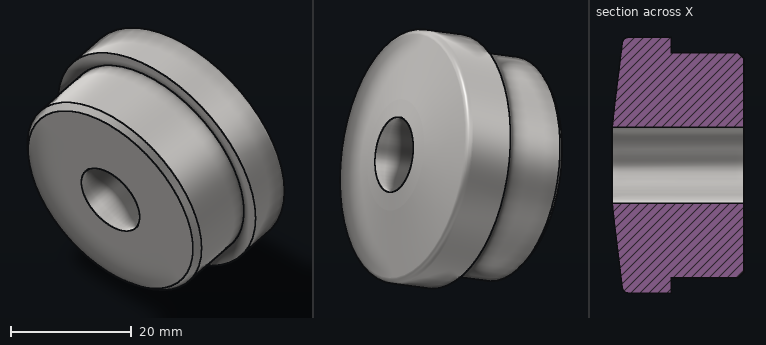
import cadquery as cq
import math

head_radius = 21.2
plug_radius = 18.7
bore_radius = 6.255
plug_length = 12.0
plug_chamfer = 1.0
total_length = 21.85
head_side_length = 7.15
rim_round = 1.0
crown_round = 76.3

head_side_end = plug_length + head_side_length
rim_center = (head_radius - rim_round, head_side_end)
bore_angle = math.asin(bore_radius / crown_round)
crown_center = (0, total_length - crown_round * math.cos(bore_angle))

center_step = (rim_center[0] - crown_center[0], rim_center[1] - crown_center[1])
center_distance = math.hypot(*center_step)
cone_slope = math.atan2(*center_step) - math.acos((crown_round - rim_round) / center_distance)


def arc_point(center, radius, angle):
    """Point on an arc, with the angle measured from the +Y direction."""
    return (
        center[0] + radius * math.sin(angle),
        center[1] + radius * math.cos(angle),
    )


rim_middle = arc_point(rim_center, rim_round, (cone_slope + math.pi / 2) / 2)
rim_end = arc_point(rim_center, rim_round, cone_slope)
crown_start = arc_point(crown_center, crown_round, cone_slope)
crown_middle = arc_point(crown_center, crown_round, (cone_slope + bore_angle) / 2)

profile = (
    cq.Workplane("XY")
    .moveTo(bore_radius, 0)
    .lineTo(plug_radius - plug_chamfer, 0)
    .lineTo(plug_radius, plug_chamfer)
    .lineTo(plug_radius, plug_length)
    .lineTo(head_radius, plug_length)
    .lineTo(head_radius, head_side_end)
    .threePointArc(rim_middle, rim_end)
    .lineTo(*crown_start)
    .threePointArc(crown_middle, (bore_radius, total_length))
    .close()
)
result = profile.revolve(360, (0, 0, 0), (0, 1, 0))